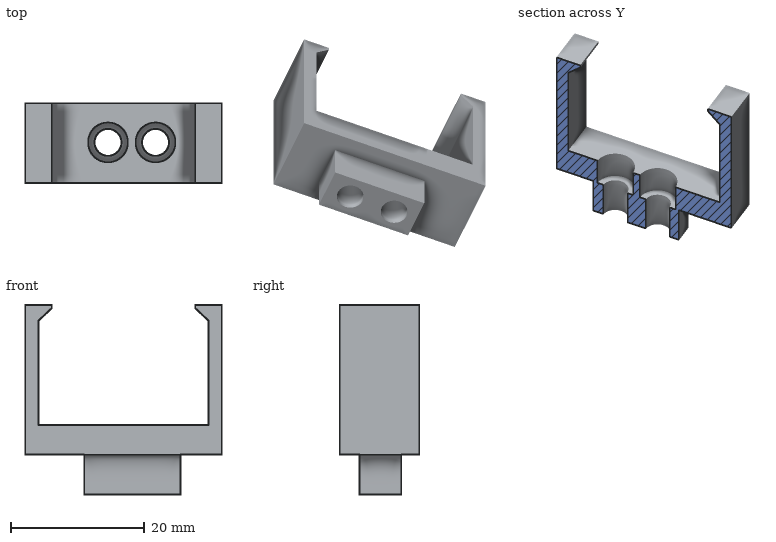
import cadquery as cq

length = 29.5
depth = 12.0
total_height = 28.5
wall = 2.0
base_thickness = 4.48

hook_reach = 4.0
hook_tip_height = 0.5
hook_height = 2.4

block_length = 14.48
block_depth = 6.3
block_height = 6.0
block_x = 1.33
block_y = 0.12

hole_diameter = 4.0
counterbore_diameter = 6.0
hole_spacing = 7.15
holes_mid_x = 1.25
counterbore_depth = base_thickness

half_length = length / 2
wall_top = total_height - block_height


def hooked_wall(side):
    """Upright wall with an inward hook; side is -1 for left, +1 for right."""
    outer = side * half_length
    inner = side * (half_length - wall)
    tip = side * (half_length - hook_reach)
    return (
        cq.Workplane("XZ")
        .polyline([
            (outer, 0),
            (outer, wall_top),
            (tip, wall_top),
            (tip, wall_top - hook_tip_height),
            (inner, wall_top - hook_height),
            (inner, 0),
        ])
        .close()
        .extrude(depth / 2, both=True)
    )


base = cq.Workplane("XY").box(length, depth, base_thickness, centered=(True, True, False))
block = (
    cq.Workplane("XY")
    .center(block_x, block_y)
    .rect(block_length, block_depth)
    .extrude(-block_height)
)
body = base.union(block).union(hooked_wall(-1)).union(hooked_wall(1))

result = (
    body.copyWorkplane(cq.Workplane("XY", origin=(holes_mid_x, block_y, base_thickness)))
    .rarray(hole_spacing, 0.3, 2, 1)
    .cboreHole(hole_diameter, counterbore_diameter, counterbore_depth)
)